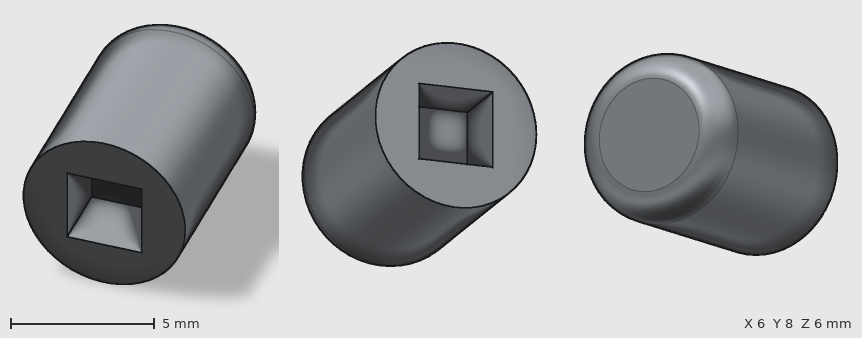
import cadquery as cq

length = 8.0
diameter = 6.0
edge_radius = 1.0

socket_width = 2.75
socket_depth = 2.5

front_y = -length / 2


def front_plane():
    """Plane on the front end, with its normal pointing into the body (+Y)."""
    return cq.Plane(origin=(0, front_y, 0), xDir=(1, 0, 0), normal=(0, 1, 0))


body = (
    cq.Workplane(front_plane())
    .circle(diameter / 2)
    .extrude(length)
    .faces(">Y")
    .edges()
    .fillet(edge_radius)
)

socket = cq.Workplane(front_plane()).rect(socket_width, socket_width).extrude(socket_depth)

result = body.cut(socket)